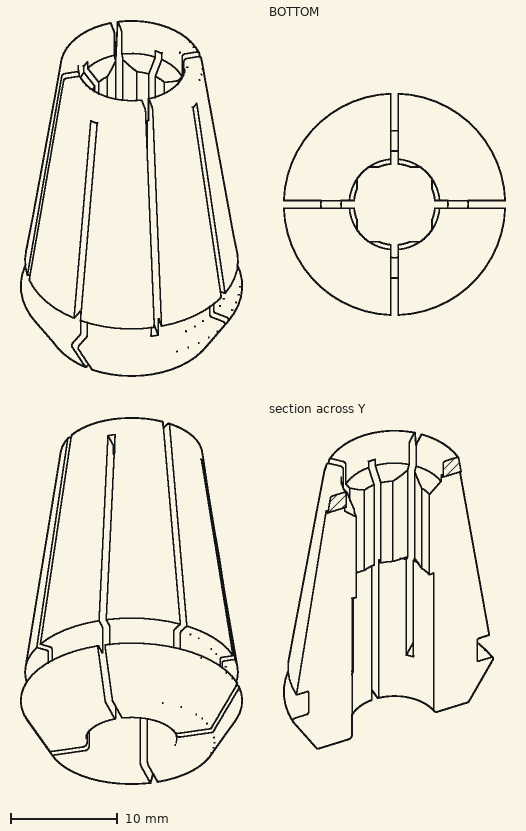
import cadquery as cq
import math

total_height = 31.5
cone_half_angle = 8.0
cone_base_radius = 10.0
groove_radius = 8.75
groove_bottom_z = 4.75
groove_top_z = 7.6
head_rim_radius = 10.4
head_half_angle = 30.0

head_rim_fillet = 0.25
head_base_fillet = 0.15
shank_mouth_fillet = 0.4
groove_fillet = 0.2
top_fillet = 0.3

shank_bore_radius = 4.25
shank_bore_depth = 17.5
square_width = 7.0
square_relief_radius = 3.8
entry_radius = 5.0
entry_depth = 2.75
entry_cone_half_angle = 45.0

slot_width = 0.7
axis_slot_top_z = 29.5
diagonal_slot_floor_z = 5.5

cone_top_radius = cone_base_radius - (total_height - groove_top_z) * math.tan(math.radians(cone_half_angle))
head_slope = math.tan(math.radians(head_half_angle))
head_corner_radius = head_rim_radius - head_rim_fillet + head_rim_fillet / head_slope
slot_length = 2 * head_corner_radius
head_base_radius = head_corner_radius - groove_bottom_z * head_slope
entry_floor_z = total_height - entry_depth
entry_cone_height = entry_radius / math.tan(math.radians(entry_cone_half_angle))


def ring_edge(body, radius, z):
    """Pick the circular edge with the given radius and height."""
    return body.edges("%CIRCLE").filter(
        lambda edge: math.isclose(edge.radius(), radius, abs_tol=1e-4)
        and math.isclose(edge.Center().z, z, abs_tol=1e-4)
    )


def make_body():
    """Turned outer form: conical head, extraction groove and long taper."""
    body = (
        cq.Workplane("XZ")
        .moveTo(0, 0)
        .lineTo(head_base_radius, 0)
        .lineTo(head_corner_radius, groove_bottom_z)
        .lineTo(groove_radius, groove_bottom_z)
        .lineTo(groove_radius, groove_top_z)
        .lineTo(cone_base_radius, groove_top_z)
        .lineTo(cone_top_radius, total_height)
        .lineTo(0, total_height)
        .close()
        .revolve(360, (0, 0, 0), (0, 1, 0))
    )
    roundings = [
        (head_base_radius, 0, head_base_fillet),
        (head_corner_radius, groove_bottom_z, head_rim_fillet),
        (groove_radius, groove_bottom_z, groove_fillet),
        (groove_radius, groove_top_z, groove_fillet),
        (cone_top_radius, total_height, top_fillet),
    ]
    for radius, z, fillet_radius in roundings:
        body = ring_edge(body, radius, z).fillet(fillet_radius)
    return body


def cut_entry(body):
    """Round entry bore at the top, with a conical floor and a rounded mouth."""
    entry = (
        cq.Workplane("XZ")
        .moveTo(0, total_height)
        .lineTo(entry_radius, total_height)
        .lineTo(entry_radius, entry_floor_z)
        .lineTo(0, entry_floor_z - entry_cone_height)
        .close()
        .revolve(360, (0, 0, 0), (0, 1, 0))
    )
    body = body.cut(entry)
    return ring_edge(body, entry_radius, total_height).fillet(top_fillet)


def cut_shank_seat(body):
    """Round shank bore with a rounded mouth at the bottom, continued by a relieved square drive."""
    shank_bore = cq.Workplane("XY").circle(shank_bore_radius).extrude(shank_bore_depth)
    drive_height = entry_floor_z - shank_bore_depth
    drive_plane = cq.Workplane("XY").workplane(offset=shank_bore_depth)
    square = drive_plane.rect(square_width, square_width).extrude(drive_height)
    relief = drive_plane.circle(square_relief_radius).extrude(drive_height)
    body = body.cut(shank_bore).cut(square).cut(relief)
    return ring_edge(body, shank_bore_radius, 0).fillet(shank_mouth_fillet)


def cut_slot_pair(body, bottom_z, top_z, first_angle):
    """Two crossing slots through the full diameter between two heights."""
    slot = (
        cq.Workplane("XY")
        .workplane(offset=bottom_z)
        .rect(slot_length, slot_width)
        .extrude(top_z - bottom_z)
    )
    for angle in (first_angle, first_angle + 90):
        body = body.cut(slot.rotate((0, 0, 0), (0, 0, 1), angle))
    return body


collet = make_body()
collet = cut_entry(collet)
collet = cut_shank_seat(collet)
collet = cut_slot_pair(collet, 0, axis_slot_top_z, 0)
collet = cut_slot_pair(collet, diagonal_slot_floor_z, total_height, 45)
result = collet